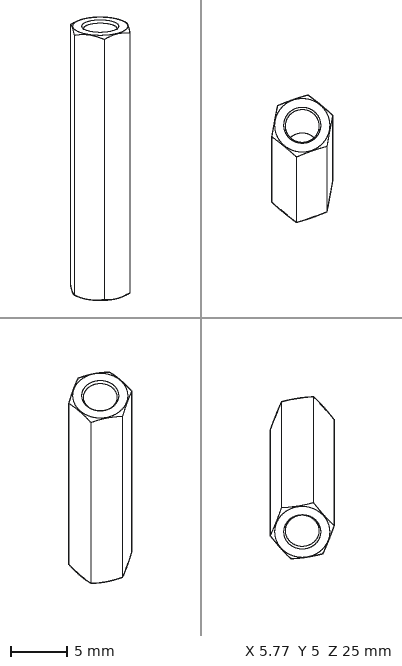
import cadquery as cq
import math

length = 25.0
across_flats = 5.0
across_corners = across_flats / math.cos(math.radians(30))

face_diameter = 4.9
corner_angle = 30.0

bore_diameter = 3.0
mouth_diameter = 3.3
mouth_depth = 0.25
bore_depth = 9.0
drill_point_angle = 118.0

half_length = length / 2
corner_radius = across_corners / 2
face_radius = face_diameter / 2
bore_radius = bore_diameter / 2
mouth_radius = mouth_diameter / 2


def hexagonal_bar():
    """Hexagonal prism with two corners on the X axis."""
    return cq.Workplane("XY").polygon(6, across_corners).extrude(half_length, both=True)


def corner_envelope():
    """Round body whose conical ends trim the hexagon corners."""
    drop = (corner_radius - face_radius) * math.tan(math.radians(corner_angle))
    shoulder = half_length - drop
    return (
        cq.Workplane("XZ")
        .moveTo(0, -half_length)
        .lineTo(face_radius, -half_length)
        .lineTo(corner_radius, -shoulder)
        .lineTo(corner_radius, shoulder)
        .lineTo(face_radius, half_length)
        .lineTo(0, half_length)
        .close()
        .revolve(360, (0, 0, 0), (0, 1, 0))
    )


def blind_hole():
    """Top hole with a countersunk mouth and a conical bottom."""
    point_depth = bore_radius / math.tan(math.radians(drill_point_angle / 2))
    bore_bottom = half_length - bore_depth
    return (
        cq.Workplane("XZ")
        .moveTo(0, half_length)
        .lineTo(mouth_radius, half_length)
        .lineTo(bore_radius, half_length - mouth_depth)
        .lineTo(bore_radius, bore_bottom)
        .lineTo(0, bore_bottom - point_depth)
        .close()
        .revolve(360, (0, 0, 0), (0, 1, 0))
    )


top_hole = blind_hole()
bottom_hole = top_hole.mirror("XY")

result = hexagonal_bar().intersect(corner_envelope()).cut(top_hole).cut(bottom_hole)